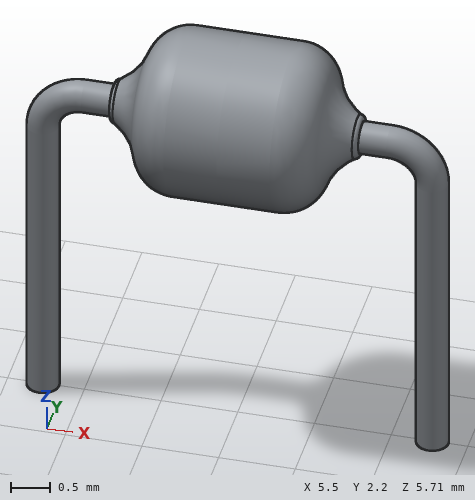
import cadquery as cq
import math

total_height = 5.71
total_length = 5.5
body_diameter = 2.2

wire_diameter = 0.42
bend_radius = 0.55

body_half_length = 1.62
barrel_half_length = 0.69
shoulder_radius = 0.54
shoulder_angle = math.radians(72)
neck_half_length = 1.56
neck_radius = 0.29

half_quarter_turn = math.pi / 4
body_radius = body_diameter / 2
wire_radius = wire_diameter / 2
lead_x = total_length / 2 - wire_radius
lead_bottom_z = body_radius - total_height


def on_shoulder(angle):
    """Point (x, radius) on the shoulder arc, turned by angle from the barrel's end."""
    return (
        barrel_half_length + shoulder_radius * math.sin(angle),
        body_radius - shoulder_radius * (1 - math.cos(angle)),
    )


def half_body():
    """The +X half of the glass body, revolved about the X axis."""
    neck = (neck_half_length, neck_radius)
    rim_width = body_half_length - neck_half_length
    rim_height = neck_radius - wire_radius
    rim_mid = (
        neck_half_length + rim_width * math.sin(half_quarter_turn),
        wire_radius + rim_height * math.cos(half_quarter_turn),
    )
    return (
        cq.Workplane("XY")
        .lineTo(0, body_radius)
        .lineTo(barrel_half_length, body_radius)
        .threePointArc(on_shoulder(shoulder_angle / 2), on_shoulder(shoulder_angle))
        .tangentArcPoint(neck, relative=False)
        .threePointArc(rim_mid, (body_half_length, wire_radius))
        .lineTo(body_half_length, 0)
        .close()
        .revolve(360, (0, 0, 0), (1, 0, 0))
    )


def half_lead():
    """The +X lead: out of the body along X, then bent down along -Z."""
    bend_start_x = lead_x - bend_radius
    bend_mid = (
        bend_start_x + bend_radius * math.sin(half_quarter_turn),
        -bend_radius * (1 - math.cos(half_quarter_turn)),
    )
    path = (
        cq.Workplane("XZ")
        .lineTo(bend_start_x, 0)
        .threePointArc(bend_mid, (lead_x, -bend_radius))
        .lineTo(lead_x, lead_bottom_z)
    )
    return cq.Workplane("YZ").circle(wire_radius).sweep(path)


half = half_body().union(half_lead())
result = half.union(half.mirror("YZ"), clean=True)